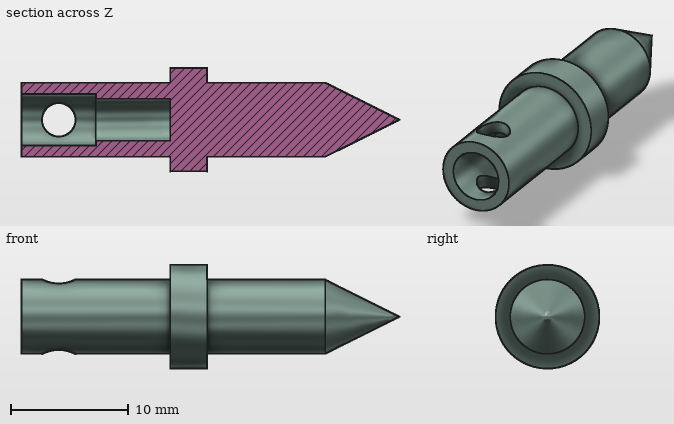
import cadquery as cq

total_length = 32.3
body_diameter = 6.35
cone_length = 6.35
shoulder_length = total_length - cone_length

collar_diameter = 8.9
collar_start = 12.7
collar_width = 3.17

bore_diameter = 4.35
bore_depth = 6.35
inner_bore_diameter = 3.6
inner_bore_depth = 12.7

cross_hole_diameter = 2.85
cross_hole_position = 3.2


def cylinder_along_x(diameter, start, length):
    return cq.Workplane("YZ", origin=(start, 0, 0)).circle(diameter / 2).extrude(length)


def make_pointed_body():
    radius = body_diameter / 2
    profile = (
        cq.Workplane("XY")
        .lineTo(0, radius)
        .lineTo(shoulder_length, radius)
        .lineTo(total_length, 0)
        .close()
    )
    return profile.revolve(360, (0, 0, 0), (1, 0, 0))


def make_cross_hole():
    return (
        cq.Workplane("XY")
        .center(cross_hole_position, 0)
        .circle(cross_hole_diameter / 2)
        .extrude(body_diameter, both=True)
    )


collar = cylinder_along_x(collar_diameter, collar_start, collar_width)
bore = cylinder_along_x(bore_diameter, 0, bore_depth)
inner_bore = cylinder_along_x(inner_bore_diameter, 0, inner_bore_depth)

result = make_pointed_body().union(collar).cut(bore).cut(inner_bore).cut(make_cross_hole())